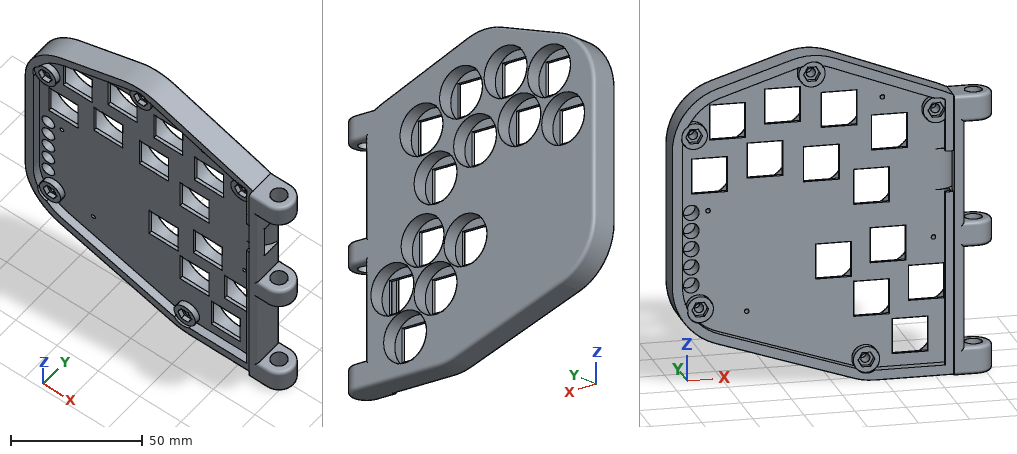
import cadquery as cq
import math


width = 126.0
height = 131.8
depth = 14.0
rim_y = 2.2
wall = 4.0
cavity_depth = 3.7
floor_y = rim_y + cavity_depth
corner_radius = 25.0
edge_fillet = 1.5

left_upper_disc = (corner_radius, 97.4)
left_lower_disc = (corner_radius, 43.1)
top_disc = (54.4, height - corner_radius)
bottom_disc = (79.2, corner_radius)

hinge_x = 110.0
hinge_top = 111.9
hinge_bar_width = 4.0
knuckle_radius = depth / 2
pin_x = width - knuckle_radius
pin_diameter = 6.9
pin_bottom = 2.0
knuckle_spans = [(0.0, 11.1), (51.1, 61.0), (101.2, hinge_top)]
shoulder = (106.0, 113.7)

lip_x = 107.0
lip_thickness = 1.5
undercut_x = 109.4

slot_bottom, slot_top = 73.1, 89.5
slot_start_x = 104.2
slot_curve_radius = 9.5
slot_roof_y = 4.5

switch_size = 14.0
switch_plate = 1.5
switch_bore_diameter = 21.2
switch_centers = [
    (22.5, 106.7), (44.1, 111.5), (66.3, 108.5), (85.9, 97.9),
    (15.5, 85.6), (37.3, 90.4), (59.3, 87.2), (78.9, 76.7),
    (64.0, 48.0), (85.4, 52.8), (78.9, 31.9), (100.4, 36.6), (94.1, 15.8),
]

boss_diameter = 10.3
boss_y = 3.3
nut_across_flats = 5.7
nut_depth = 2.0
screw_diameter = 3.5
screw_depth = 7.9
boss_centers = [(8.8, 102.5), (55.0, 124.0), (103.7, 106.0), (11.2, 33.1), (76.3, 8.2)]

pocket_diameter = 6.0
pocket_depth = 6.6
pocket_x = 8.3
pocket_top_z = 71.2
pocket_pitch = 7.2
pocket_count = 5
pilot_diameter = 1.7
pilot_depth = 4.0
pilot_centers = [(83.1, 111.9), (14.9, 71.5), (103.2, 54.3), (30.0, 30.2)]


def sketch_at(y):
    """Front-facing sketch plane at depth y; sketch axes are X and Z, extrusion goes toward +Y."""
    return cq.Workplane("XZ", origin=(0, y, 0))


def extrude_back(sketch, length):
    return sketch.extrude(-length)


def drill(centers, diameter, y, length):
    return extrude_back(sketch_at(y).pushPoints(centers).circle(diameter / 2), length)


def box(x0, x1, y0, y1, z0, z1):
    return cq.Workplane("XY").box(x1 - x0, y1 - y0, z1 - z0, centered=False).translate((x0, y0, z0))


def direction(start, end):
    return math.atan2(end[1] - start[1], end[0] - start[0])


def on_disc(center, angle, radius):
    return (center[0] + radius * math.cos(angle), center[1] + radius * math.sin(angle))


def outline(radius, right_x, right_top, bend):
    """Closed outline that runs clockwise around the four corner discs and down the right side."""
    quarter = math.pi / 2
    upper_left_normal = direction(left_upper_disc, top_disc) + quarter
    lower_left_normal = direction(bottom_disc, left_lower_disc) + quarter
    bend_distance = math.dist(top_disc, bend)
    top_right_normal = direction(top_disc, bend) + math.acos(radius / bend_distance)

    def arc(path, center, start, end):
        middle = on_disc(center, (start + end) / 2, radius)
        return path.threePointArc(middle, on_disc(center, end, radius))

    path = sketch_at(rim_y).moveTo(*on_disc(left_lower_disc, math.pi, radius))
    path = path.lineTo(*on_disc(left_upper_disc, math.pi, radius))
    path = arc(path, left_upper_disc, math.pi, upper_left_normal)
    path = path.lineTo(*on_disc(top_disc, upper_left_normal, radius))
    path = arc(path, top_disc, upper_left_normal, top_right_normal)
    path = path.lineTo(*bend).lineTo(right_x, right_top)
    path = path.lineTo(right_x, bottom_disc[1] - radius)
    path = path.lineTo(*on_disc(bottom_disc, -quarter, radius))
    path = arc(path, bottom_disc, -quarter, lower_left_normal - 2 * math.pi)
    path = path.lineTo(*on_disc(left_lower_disc, lower_left_normal, radius))
    path = arc(path, left_lower_disc, lower_left_normal, math.pi)
    return path.close()


def make_shell():
    """Solid case and hinge with the back edges and the hinge edges rounded."""
    shell = extrude_back(outline(corner_radius, hinge_x, hinge_top, shoulder), depth - rim_y)
    shell = shell.union(box(hinge_x, hinge_x + hinge_bar_width, 0, depth, 0, hinge_top))
    for low, high in knuckle_spans:
        knuckle = box(hinge_x, pin_x, 0, depth, low, high)
        barrel = cq.Workplane("XY", origin=(pin_x, knuckle_radius, low)).circle(knuckle_radius)
        shell = shell.union(knuckle.union(barrel.extrude(high - low)))
    return shell


def round_edges(shell):
    tolerance = 0.01

    def is_rounded(edge):
        center = edge.Center()
        on_back = center.y > depth - tolerance
        on_hinge_front = center.y < tolerance and center.x > hinge_x + tolerance
        on_barrel_end = center.x > pin_x + tolerance
        is_barrel_seam = abs(center.x - pin_x) < tolerance
        return (on_back or on_hinge_front or on_barrel_end) and not is_barrel_seam

    return shell.edges().filter(is_rounded).fillet(edge_fillet)


def make_cavity():
    """Recess inside the rim, with a groove running under the lip on the hinge side."""
    top_edge_angle = direction(top_disc, shoulder)
    cavity_bend = (shoulder[0], shoulder[1] - wall / math.cos(top_edge_angle))
    cavity_top = hinge_top - wall
    opening = outline(corner_radius - wall, lip_x, cavity_top, cavity_bend)
    groove = box(lip_x, undercut_x, rim_y + lip_thickness, floor_y, wall, cavity_top)
    return extrude_back(opening, cavity_depth).union(groove)


def make_cable_slot():
    """Passage that curves down from the floor and leaves under the hinge bar."""
    curve_y = floor_y + slot_curve_radius
    length = slot_top - slot_bottom
    inside = box(slot_start_x, hinge_x, 0, depth, slot_bottom, slot_top)
    under_bar = box(hinge_x, width, slot_roof_y, depth, slot_bottom, slot_top)
    curve = cq.Workplane("XY", origin=(slot_start_x, curve_y, slot_bottom))
    curve = curve.circle(slot_curve_radius).extrude(length)
    return inside.union(under_bar).cut(curve)


def make_switch_openings():
    squares = sketch_at(floor_y).pushPoints(switch_centers).rect(switch_size, switch_size)
    bore_y = floor_y + switch_plate
    bores = drill(switch_centers, switch_bore_diameter, bore_y, depth - bore_y)
    return extrude_back(squares, depth - floor_y).union(bores)


def make_bosses():
    """Posts that rise from the floor and stop just below the rim."""
    return drill(boss_centers, boss_diameter, boss_y, floor_y - boss_y)


def make_boss_clearance():
    """Round notches where the bosses reach into the rim; the lip stays whole."""
    lip = box(lip_x, hinge_x, 0, depth, 0, height)
    return drill(boss_centers, boss_diameter, rim_y, boss_y - rim_y).cut(lip)


def make_boss_holes():
    nut_corner_diameter = nut_across_flats / math.cos(math.pi / 6)
    nuts = sketch_at(boss_y).pushPoints(boss_centers).polygon(6, nut_corner_diameter)
    screws = drill(boss_centers, screw_diameter, boss_y, screw_depth)
    return extrude_back(nuts, nut_depth).union(screws)


def make_floor_holes():
    pocket_centers = [(pocket_x, pocket_top_z - i * pocket_pitch) for i in range(pocket_count)]
    pockets = drill(pocket_centers, pocket_diameter, floor_y, pocket_depth)
    return pockets.union(drill(pilot_centers, pilot_diameter, floor_y, pilot_depth))


def make_pin_hole():
    pin = cq.Workplane("XY", origin=(pin_x, knuckle_radius, pin_bottom))
    return pin.circle(pin_diameter / 2).extrude(hinge_top - pin_bottom)


result = round_edges(make_shell())
result = result.cut(make_cavity())
result = result.cut(make_switch_openings())
result = result.cut(make_floor_holes())
result = result.cut(make_cable_slot())
result = result.cut(make_pin_hole())
result = result.union(make_bosses())
result = result.cut(make_boss_clearance())
result = result.cut(make_boss_holes())